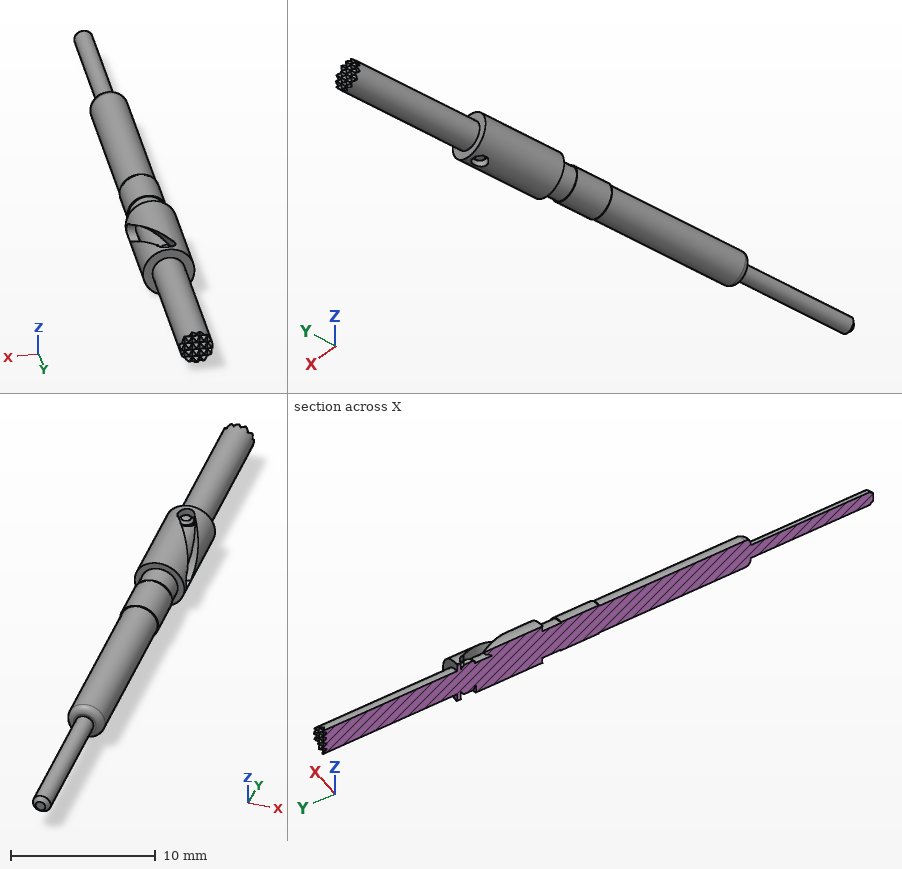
import cadquery as cq


total_length = 45.0
collar_length = 7.0
head_length = 11.0
terminal_length = 10.0
body_length = total_length - collar_length - head_length - terminal_length
head_end = collar_length + head_length
body_end = -body_length
terminal_end = body_end - terminal_length

head_diameter = 2.3
collar_diameter = 3.6
body_diameter = 2.65
terminal_diameter = 1.3
press_ring_diameter = 2.8

press_ring_offset = 1.5
press_ring_length = 3.1
body_end_fillet = 0.5
terminal_chamfer = 0.3

guide_hole_diameter = 1.2
guide_hole_inset = 0.95
guide_y = collar_length - guide_hole_inset
guide_pin_diameter = 1.1
guide_pin_reach = 1.45
guide_pin_chamfer = 0.2
slot_width = 1.3
slot_travel = 5.0
slot_turn = 90.0

groove_pitch = 0.53
groove_depth = 0.35
grooves_per_direction = 6


def rod(diameter, y_start, y_end):
    """Cylinder on the Y axis between two stations."""
    length = y_end - y_start
    return cq.Workplane("XZ", origin=(0, y_end, 0)).circle(diameter / 2).extrude(length)


def make_body():
    """Plain barrel with a rounded tail and a raised press ring."""
    barrel = rod(body_diameter, body_end, 0).faces("<Y").edges().fillet(body_end_fillet)
    ring_start = -press_ring_offset
    ring = rod(press_ring_diameter, ring_start - press_ring_length, ring_start)
    return barrel.union(ring)


def make_terminal():
    """Thin pin at the tail, chamfered at its free end."""
    pin = rod(terminal_diameter, terminal_end, body_end)
    return pin.faces("<Y").edges().chamfer(terminal_chamfer)


def make_plunger():
    """Plunger running through the collar, its end cut into a grid of points."""
    plunger = rod(head_diameter, 0, head_end)
    half_width = groove_pitch / 2
    groove = (
        cq.Workplane("XY")
        .polyline([(-half_width, head_end), (half_width, head_end), (0, head_end - groove_depth)])
        .close()
        .extrude(head_diameter, both=True)
    )
    for index in range(grooves_per_direction):
        offset = (index - (grooves_per_direction - 1) / 2) * groove_pitch
        across = groove.translate((offset, 0, 0))
        plunger = plunger.cut(across)
        plunger = plunger.cut(across.rotate((0, 0, 0), (0, 1, 0), 90))
    return plunger


def make_guide_slot():
    """Helical cutter from the +Z guide hole to a round end on the +X side."""
    end_hole = (
        cq.Workplane("YZ", origin=(0, guide_y - slot_travel, 0))
        .circle(slot_width / 2)
        .extrude(collar_diameter)
    )
    helix = (
        cq.Workplane("XZ", origin=(0, guide_y, 0))
        .center(0, collar_diameter / 2)
        .rect(slot_width, collar_diameter)
        .center(0, -collar_diameter / 2)
        .twistExtrude(slot_travel, -slot_turn)
    )
    return helix.union(end_hole)


def make_collar():
    """Collar with a guide hole through it along Z and one helical guide slot."""
    collar = rod(collar_diameter, 0, collar_length)
    guide_hole = (
        cq.Workplane("XY", origin=(0, guide_y, 0))
        .circle(guide_hole_diameter / 2)
        .extrude(collar_diameter, both=True)
    )
    return collar.cut(guide_hole).cut(make_guide_slot())


def make_guide_pin():
    """Cross pin fixed in the plunger, ending below the collar surface."""
    return (
        cq.Workplane("XY", origin=(0, guide_y, 0))
        .circle(guide_pin_diameter / 2)
        .extrude(guide_pin_reach, both=True)
        .faces("<Z or >Z")
        .edges()
        .chamfer(guide_pin_chamfer)
    )


result = (
    make_collar()
    .union(make_plunger())
    .union(make_guide_pin())
    .union(make_body())
    .union(make_terminal())
)